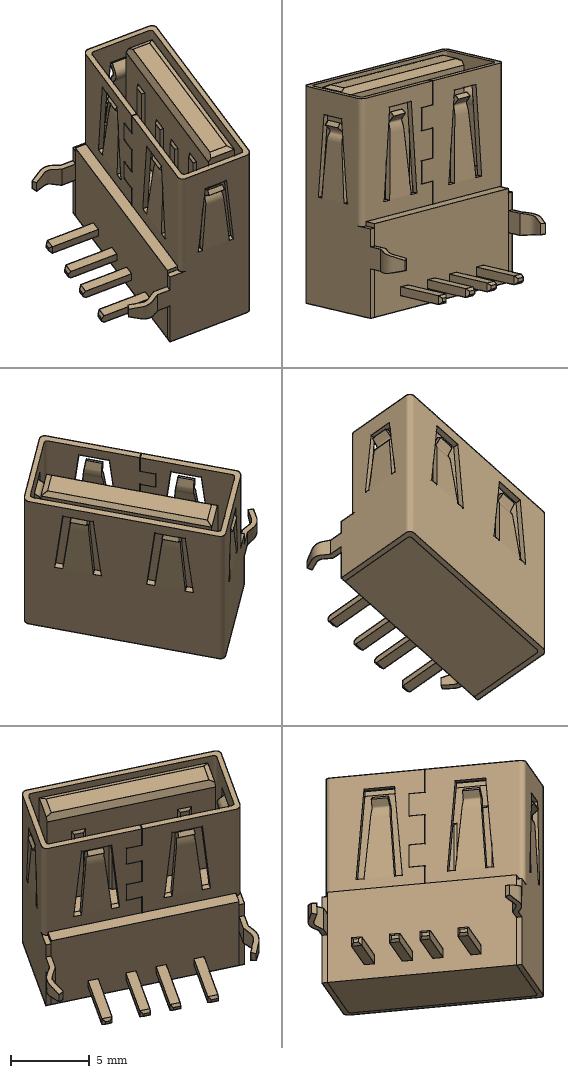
import cadquery as cq
import math


height = 14.3
shell_width = 13.15
shell_depth = 5.13
body_depth = 5.89
sheet = 0.36
outer_corner = 0.36
inner_corner = 0.21

flap_top = 5.89
seam_gap = 0.05
seam_clearance = 0.007
tooth_length = 1.03
tooth_height = 1.52
tooth_bottoms = (7.7, 11.2)

spring_foot = 7.18
broad_spring_x = 3.0

broad_window_widths = (3.05, 2.0)
broad_window_top = 13.31
broad_spring_widths = (2.0, 1.06)
broad_bend = (0.33, 11.77)
broad_knee = (0.49, 12.13)
broad_tip = (0.09, 12.61)
broad_bend_radius = 1.57
broad_knee_radius = 0.17

side_window_widths = (2.53, 1.55)
side_window_top = 12.7
side_spring_widths = (1.96, 1.07)
side_bend = (0.16, 11.24)
side_knee = (0.46, 11.61)
side_tip = (-0.11, 12.08)
side_bend_radius = 0.75
side_knee_radius = 0.21

leg_height = 1.46
leg_z = 3.99
leg_tip_height = 0.67
leg_taper_start = 6.94
leg_taper_middle = (7.9, 1.17)
leg_bend = (0.0, 6.78)
leg_knee = (0.55, 7.68)
leg_tip = (-0.06, 8.87)
leg_knee_radius = 0.89

floor_z = 6.18
tongue_width = 11.15
tongue_back = 0.7
tongue_front = 2.57
rim_slope = (0.36, 0.19)
front_slope = (0.3, 0.46)

outer_contact_top = 12.43
inner_contact_top = 11.43
contacts = (
    (-3.5, outer_contact_top),
    (-1.0, inner_contact_top),
    (1.0, inner_contact_top),
    (3.5, outer_contact_top),
)
contact_width = 0.93
contact_depth = 0.16
contact_rim_angle = 45.0

pin_shift = 0.06
pin_width = 0.67
pin_height = 0.59
pin_z = 1.27
pin_end = 9.4
pin_chamfer = 0.17

half_width = shell_width / 2
cavity_width = shell_width - 2 * sheet
cavity_depth = shell_depth - 2 * sheet
middle_y = -shell_depth / 2


def block(x_range, y_range, z_range):
    """Box between the given limits along each axis."""
    size = [high - low for low, high in (x_range, y_range, z_range)]
    corner = (x_range[0], y_range[0], z_range[0])
    return cq.Workplane("XY").box(*size, centered=False).translate(corner)


def strip_outline(face_points, thickness):
    """Closed outline of a bent strip: one face's points, then the parallel face on its right."""
    directions = []
    for (x0, y0), (x1, y1) in zip(face_points, face_points[1:]):
        length = math.hypot(x1 - x0, y1 - y0)
        directions.append(((x1 - x0) / length, (y1 - y0) / length))
    before = [directions[0]] + directions
    after = directions + [directions[-1]]
    far_points = []
    for (x, y), (ax, ay), (bx, by) in zip(face_points, before, after):
        reach = thickness / (1 + ax * bx + ay * by)
        far_points.append((x + reach * (ay + by), y - reach * (ax + bx)))
    return list(face_points) + far_points[::-1]


def bent_strip(plane, face_points, width, bend_radii):
    """Strip of sheet metal, centred on the plane; bend_radii maps a point's index to
    the (near face, far face) radii of that bend."""
    outline = strip_outline(face_points, sheet)
    strip = cq.Workplane(plane).polyline(outline).close().extrude(width / 2, both=True)
    for index, radii in bend_radii.items():
        for corner, radius in zip((index, -1 - index), radii):
            place = cq.Plane.named(plane).toWorldCoords(outline[corner])
            strip = strip.edges(cq.selectors.NearestToPointSelector(place.toTuple())).fillet(radius)
    return strip


def tapered_panel(bottom_width, top_width, bottom, top):
    """Upright trapezoid centred on x = 0, thick enough to pass through a wall at y = 0."""
    outline = [
        (-bottom_width / 2, bottom),
        (bottom_width / 2, bottom),
        (top_width / 2, top),
        (-top_width / 2, top),
    ]
    return cq.Workplane("XZ").polyline(outline).close().extrude(4 * sheet, both=True)


def spring_tab(widths, bend, knee, tip, bend_radius, knee_radius):
    """Tab that leans into the cavity and kicks back outward at its tip.
    Its wall's outer face is y = 0 and inward is +Y; the points are (inward, height)."""
    strip = bent_strip(
        "YZ",
        [(0.0, spring_foot), bend, knee, tip],
        2 * widths[0],
        {1: (bend_radius, bend_radius - sheet), 2: (knee_radius, knee_radius + sheet)},
    )
    tip_top = strip.val().BoundingBox().zmax
    return strip.intersect(tapered_panel(*widths, spring_foot, tip_top))


def on_front(body, x):
    return body.translate((x, -shell_depth, 0))


def on_back(body, x):
    return body.mirror("XZ").translate((x, 0, 0))


def on_left(body):
    return body.rotate((0, 0, 0), (0, 0, 1), -90).translate((-half_width, middle_y, 0))


def on_right(body):
    return body.rotate((0, 0, 0), (0, 0, 1), 90).translate((half_width, middle_y, 0))


broad_window = tapered_panel(*broad_window_widths, spring_foot, broad_window_top)
broad_spring = spring_tab(
    broad_spring_widths, broad_bend, broad_knee, broad_tip, broad_bend_radius, broad_knee_radius
)
side_window = tapered_panel(*side_window_widths, spring_foot, side_window_top)
side_spring = spring_tab(
    side_spring_widths, side_bend, side_knee, side_tip, side_bend_radius, side_knee_radius
)


def in_every_window(broad, side):
    """The four copies on the front and back walls and the two on the side walls."""
    copies = [on_left(side), on_right(side)]
    for x in (-broad_spring_x, broad_spring_x):
        copies += [on_front(broad, x), on_back(broad, x)]
    return copies


def cavity(bottom, top):
    """Inside of the shell tube between two heights."""
    return (
        cq.Workplane("XY", origin=(0, middle_y, bottom))
        .rect(cavity_width, cavity_depth)
        .extrude(top - bottom)
        .edges("|Z")
        .fillet(inner_corner)
    )


def channel_core():
    """Space between the side walls below the flap top, open toward the board face."""
    half = cavity_width / 2
    core = block((-half, half), (-body_depth, -sheet), (0, flap_top))
    return core.edges("|Z and >Y").fillet(inner_corner)


def shell_tube():
    tube = (
        cq.Workplane("XY", origin=(0, middle_y, flap_top))
        .rect(shell_width, shell_depth)
        .extrude(height - flap_top)
        .edges("|Z")
        .fillet(outer_corner)
    )
    return tube.cut(cavity(flap_top, height))


def shell_channel():
    channel = block((-half_width, half_width), (-body_depth, 0), (0, flap_top))
    channel = channel.edges("|Z and >Y").fillet(outer_corner)
    return channel.cut(channel_core())


def cut_seam(shell):
    """Split the front wall down the middle, with teeth of the right half set into the left half."""
    wall = (-shell_depth, -shell_depth + sheet)
    edge = seam_gap / 2
    shell = shell.cut(block((-edge, edge), wall, (flap_top, height)))
    for bottom in tooth_bottoms:
        top = bottom + tooth_height
        notch = block(
            (-tooth_length - seam_clearance, edge), wall, (bottom - seam_clearance, top + seam_clearance)
        )
        tooth = block((-tooth_length, edge), wall, (bottom, top))
        shell = shell.cut(notch).union(tooth)
    return shell


def board_leg():
    """Kinked leg of the right side wall that snaps into the board, tapered toward its tip."""
    points = [(0.0, body_depth), leg_bend, leg_knee, leg_tip]
    face = [(half_width + out, -along) for out, along in points]
    leg = bent_strip(
        "XY", face, leg_height, {2: (leg_knee_radius, leg_knee_radius - sheet)}
    )
    half = leg_height / 2
    half_tip = leg_tip_height / 2
    arc_y, half_middle = -leg_taper_middle[0], leg_taper_middle[1] / 2
    side_profile = (
        cq.Workplane("YZ")
        .moveTo(-body_depth, -half)
        .lineTo(-leg_taper_start, -half)
        .threePointArc((arc_y, -half_middle), (-leg_tip[1], -half_tip))
        .lineTo(-leg_tip[1], half_tip)
        .threePointArc((arc_y, half_middle), (-leg_taper_start, half))
        .lineTo(-body_depth, half)
        .close()
        .extrude(shell_width)
    )
    return leg.intersect(side_profile).translate((0, 0, leg_z))


def make_shell():
    shell = shell_tube().union(shell_channel())
    for window in in_every_window(broad_window, side_window):
        shell = shell.cut(window)
    for spring in in_every_window(broad_spring, side_spring):
        shell = shell.union(spring)
    shell = cut_seam(shell)
    leg = board_leg()
    return shell.union(leg).union(leg.mirror("YZ"))


def housing_base():
    """Block filling the lower shell, with a lip standing in front of the shell's front wall."""
    half = cavity_width / 2
    lip = block((-half, half), (-body_depth, -shell_depth), (flap_top, floor_z))
    return channel_core().union(cavity(flap_top, floor_z)).union(lip)


def tongue():
    """Flush-topped plate: the sloped side-on outline met by the sloped broadside outline."""
    rim_run, rim_drop = rim_slope
    front_run, front_drop = front_slope
    half = tongue_width / 2
    side_outline = [
        (-tongue_front, floor_z),
        (-tongue_front, height - front_drop),
        (-tongue_front + front_run, height),
        (-tongue_back - rim_run, height),
        (-tongue_back, height - rim_drop),
        (-tongue_back, floor_z),
    ]
    front_outline = [
        (-half, floor_z),
        (-half, height - rim_drop),
        (-half + rim_run, height),
        (half - rim_run, height),
        (half, height - rim_drop),
        (half, floor_z),
    ]
    across = cq.Workplane("YZ").polyline(side_outline).close().extrude(half, both=True)
    along = cq.Workplane("XZ").polyline(front_outline).close().extrude(shell_depth)
    return across.intersect(along)


def contact(x, top):
    """Flat contact on the tongue's front face, its rim sloped; its lower end sits in the base."""
    bottom = floor_z - contact_depth
    return (
        cq.Workplane("XZ", origin=(x, -tongue_front, (bottom + top) / 2))
        .rect(contact_width, top - bottom)
        .extrude(contact_depth, taper=contact_rim_angle)
    )


def pin(x, tip_edges):
    half = pin_width / 2
    bar = block(
        (x - half, x + half), (-pin_end, -body_depth), (pin_z - pin_height / 2, pin_z + pin_height / 2)
    )
    return bar.faces("<Y").edges(tip_edges).chamfer(pin_chamfer)


def make_housing():
    housing = housing_base().union(tongue())
    for x, top in contacts:
        tip_edges = "<X or >X or <Z or >Z" if x == contacts[0][0] else "<X or <Z or >Z"
        housing = housing.union(contact(x, top)).union(pin(x + pin_shift, tip_edges))
    for x in (-broad_spring_x, broad_spring_x):
        housing = housing.cut(on_back(broad_spring, x))
    return housing


shell = make_shell()
housing = make_housing()
result = cq.Compound.makeCompound([shell.solids().val(), housing.solids().val()])